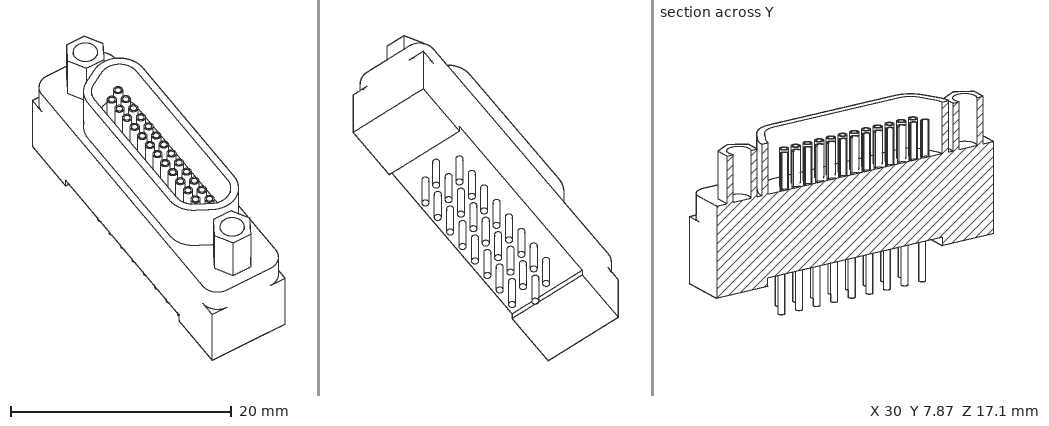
import cadquery as cq
import math

BODY_LENGTH = 30.01
BODY_WIDTH = 7.87
BODY_HEIGHT = 8.95
CORNER_RADIUS = 1.58
CORNER_DEPTH = 2.44
RECESS_LENGTH = 18.88
RECESS_HEIGHT = 0.81

SHELL_HEIGHT = 4.98
SHELL_UPPER_CENTER_X = 7.6
SHELL_RADIUS = 2.54
SHELL_CENTER_Y = 0.68
SHELL_WALL = 0.72
SHELL_SIDE_ANGLE = 30.0

POST_SPACING = 24.48
POST_ACROSS_FLATS = 3.3
POST_HEIGHT = 4.62
POST_HOLE_DIAMETER = 2.2

SOCKET_PITCH = 1.27
SOCKET_ROW_SPACING = 1.09
SOCKET_OUTER_DIAMETER = 0.84
SOCKET_BORE_DIAMETER = 0.57
SOCKET_HEIGHT = 3.56
LONG_ROW_COUNT = 13
SHORT_ROW_COUNT = 12

TAIL_DIAMETER = 0.64
TAIL_PITCH = 1.905
TAIL_ROW_COUNTS = (8, 9, 8)
TAIL_LENGTH = 3.18


def centered_row(count, pitch, y):
    """Points along X at an even pitch, centred on X = 0."""
    return [((i - (count - 1) / 2) * pitch, y) for i in range(count)]


def make_body():
    """Block with four stepped round corners and a through recess below."""
    lower_height = BODY_HEIGHT - CORNER_DEPTH
    lower = cq.Workplane("XY").box(BODY_LENGTH, BODY_WIDTH, lower_height, centered=(True, True, False))
    flange = (
        cq.Workplane("XY", origin=(0, 0, lower_height))
        .box(BODY_LENGTH, BODY_WIDTH, CORNER_DEPTH, centered=(True, True, False))
        .edges("|Z")
        .fillet(CORNER_RADIUS)
    )
    recess = cq.Workplane("XY").box(RECESS_LENGTH, BODY_WIDTH, RECESS_HEIGHT, centered=(True, True, False))
    return lower.union(flange).cut(recess)


def shell_prism(radius):
    """D-shaped prism on top of the body; the arc centres are the same for every radius."""
    lean = SHELL_SIDE_ANGLE
    center_y = SHELL_CENTER_Y
    upper_x = SHELL_UPPER_CENTER_X
    lower_x = upper_x - 2 * center_y * math.tan(math.radians(lean))
    upper_middle = (90 - lean) / 2
    lower_middle = (lean + 90) / 2

    def on_arc(center_x, y, degrees):
        angle = math.radians(degrees)
        return (center_x + radius * math.cos(angle), y + radius * math.sin(angle))

    return (
        cq.Workplane("XY", origin=(0, 0, BODY_HEIGHT))
        .moveTo(*on_arc(-upper_x, center_y, 90))
        .lineTo(*on_arc(upper_x, center_y, 90))
        .threePointArc(on_arc(upper_x, center_y, upper_middle), on_arc(upper_x, center_y, -lean))
        .lineTo(*on_arc(lower_x, -center_y, -lean))
        .threePointArc(on_arc(lower_x, -center_y, -lower_middle), on_arc(lower_x, -center_y, -90))
        .lineTo(*on_arc(-lower_x, -center_y, -90))
        .threePointArc(on_arc(-lower_x, -center_y, 180 + lower_middle), on_arc(-lower_x, -center_y, 180 + lean))
        .lineTo(*on_arc(-upper_x, center_y, 180 + lean))
        .threePointArc(on_arc(-upper_x, center_y, 180 - upper_middle), on_arc(-upper_x, center_y, 90))
        .close()
        .extrude(SHELL_HEIGHT)
    )


def make_shell():
    """Thin wall of even thickness between two D-shaped outlines."""
    return shell_prism(SHELL_RADIUS).cut(shell_prism(SHELL_RADIUS - SHELL_WALL))


def make_posts():
    """Two hexagonal tubes with corners toward +/-Y, bored down to the flange."""
    across_corners = POST_ACROSS_FLATS / math.cos(math.radians(30))
    post = (
        cq.Workplane("XY", origin=(0, 0, BODY_HEIGHT))
        .polygon(6, across_corners)
        .circle(POST_HOLE_DIAMETER / 2)
        .extrude(POST_HEIGHT)
        .rotate((0, 0, 0), (0, 0, 1), 30)
    )
    offset = POST_SPACING / 2
    return post.translate((-offset, 0, 0)).union(post.translate((offset, 0, 0)))


def socket_points():
    """Centres of the sockets: long row toward +Y, short row half a pitch off."""
    long_row = centered_row(LONG_ROW_COUNT, SOCKET_PITCH, SOCKET_ROW_SPACING / 2)
    short_row = centered_row(SHORT_ROW_COUNT, SOCKET_PITCH, -SOCKET_ROW_SPACING / 2)
    return long_row + short_row


def make_sockets():
    """Tubular contacts standing on the floor of the shell."""
    return (
        cq.Workplane("XY", origin=(0, 0, BODY_HEIGHT))
        .pushPoints(socket_points())
        .circle(SOCKET_OUTER_DIAMETER / 2)
        .circle(SOCKET_BORE_DIAMETER / 2)
        .extrude(SOCKET_HEIGHT)
    )


def make_tails():
    """Round tails below the recess; the outer rows sit half a pitch off the middle one."""
    points = []
    for row, count in enumerate(TAIL_ROW_COUNTS):
        y = (row - (len(TAIL_ROW_COUNTS) - 1) / 2) * TAIL_PITCH
        points += centered_row(count, TAIL_PITCH, y)
    return (
        cq.Workplane("XY", origin=(0, 0, -TAIL_LENGTH))
        .pushPoints(points)
        .circle(TAIL_DIAMETER / 2)
        .extrude(TAIL_LENGTH + RECESS_HEIGHT)
    )


result = (
    make_body()
    .union(make_shell())
    .union(make_posts())
    .union(make_sockets())
    .union(make_tails())
)